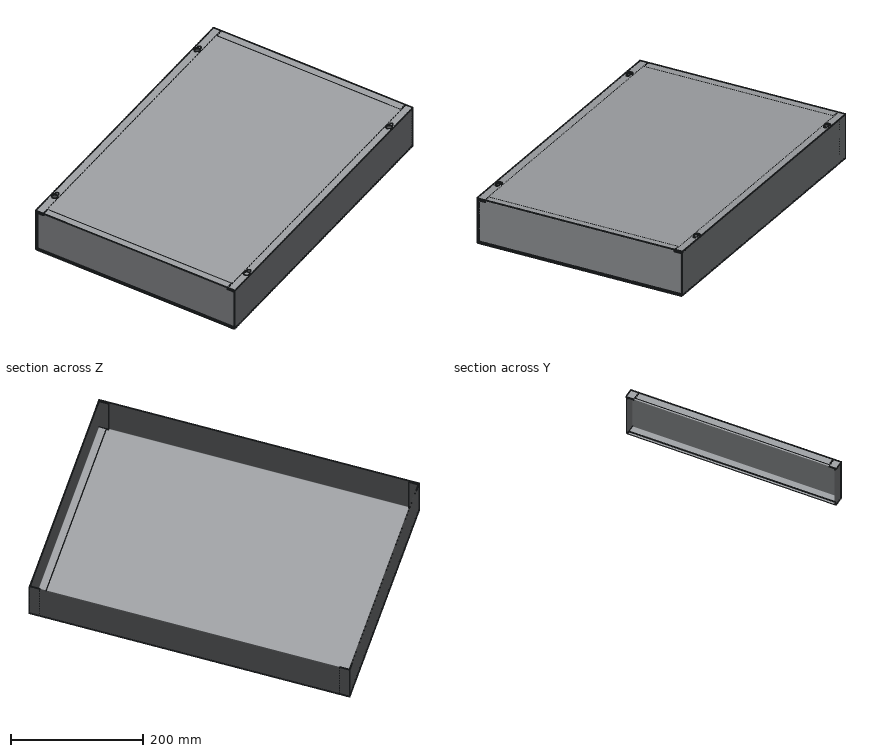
import cadquery as cq

LENGTH = 508.0
WIDTH = 355.5
HEIGHT = 77.5
SHEET = 1.45

SHELL_BEND = 2.3
SHELL_FLANGE = 12.5

PANEL_INSET_SIDE = 1.8
PANEL_INSET_BOTTOM = 2.0
PANEL_BEND = 2.0
PANEL_FLANGE = 12.5
PANEL_SIDE_FLANGE = 16.5
CORNER_NOTCH_DROP = 4.5
CORNER_NOTCH_GAP = 1.5

KEYHOLE_RADIUS = 5.0
SLOT_RADIUS = 2.8
KEYHOLE_INSET = 6.5
SLOT_SPACING = 406.5
SLOT_RISE = 6.5
ALONG_Y = 90

TOP = HEIGHT / 2
HALF_WIDTH = WIDTH / 2
HALF_LENGTH = LENGTH / 2
COVER_BOTTOM = TOP - SHEET
KEYHOLE_X = HALF_WIDTH - KEYHOLE_INSET
HOLE_CENTRES = [
    (side * KEYHOLE_X, end * SLOT_SPACING / 2 - SLOT_RISE)
    for side in (-1, 1)
    for end in (-1, 1)
]


def block(x_min, x_max, y_min, y_max, z_min, z_max):
    """Axis-aligned box between the given limits."""
    size = (x_max - x_min, y_max - y_min, z_max - z_min)
    return cq.Workplane().box(*size, centered=False).translate((x_min, y_min, z_min))


def round_holes():
    """Four vertical cylinders through the cover and the shell flanges."""
    return (
        cq.Workplane(origin=(0, 0, COVER_BOTTOM - SHEET))
        .pushPoints(HOLE_CENTRES)
        .circle(KEYHOLE_RADIUS)
        .extrude(2 * SHEET)
    )


def keyhole_slots():
    """Four narrow slots, each running from a round hole towards +Y."""
    slot_middles = [(x, y + SLOT_RISE / 2) for x, y in HOLE_CENTRES]
    return (
        cq.Workplane(origin=(0, 0, COVER_BOTTOM))
        .pushPoints(slot_middles)
        .slot2D(SLOT_RISE + 2 * SLOT_RADIUS, 2 * SLOT_RADIUS, ALONG_Y)
        .extrude(SHEET)
    )


def make_cover():
    """Flat sheet over the whole top, pierced by four keyholes."""
    sheet = block(-HALF_WIDTH, HALF_WIDTH, -HALF_LENGTH, HALF_LENGTH, COVER_BOTTOM, TOP)
    return sheet.cut(round_holes()).cut(keyhole_slots())


def make_shell():
    """Bent sheet running the full length, open at both ends and along the top."""
    outer = block(-HALF_WIDTH, HALF_WIDTH, -HALF_LENGTH, HALF_LENGTH, -TOP, COVER_BOTTOM)
    outer = outer.edges("|Y").fillet(SHELL_BEND)
    bore_x = HALF_WIDTH - SHEET
    bore = block(-bore_x, bore_x, -HALF_LENGTH, HALF_LENGTH, -TOP + SHEET, COVER_BOTTOM - SHEET)
    bore = bore.edges("|Y").fillet(SHELL_BEND - SHEET)
    gap_x = HALF_WIDTH - SHELL_FLANGE
    opening = block(-gap_x, gap_x, -HALF_LENGTH, HALF_LENGTH, 0, COVER_BOTTOM)
    return outer.cut(bore).cut(opening).cut(round_holes())


def make_front_panel():
    """End pan at -Y, with its flanges turned inward."""
    half_x = HALF_WIDTH - PANEL_INSET_SIDE
    face_y = -HALF_LENGTH
    bottom = -TOP + PANEL_INSET_BOTTOM
    top = COVER_BOTTOM
    side_end = face_y + PANEL_SIDE_FLANGE
    flange_end = face_y + PANEL_FLANGE

    pan = block(-half_x, half_x, face_y, side_end, bottom, top)
    pan = pan.faces("<Y").edges().fillet(PANEL_BEND)
    cavity_x = half_x - SHEET
    cavity = block(-cavity_x, cavity_x, face_y + SHEET, side_end, bottom + SHEET, top - SHEET)
    cavity = cavity.faces("<Y").edges().fillet(PANEL_BEND - SHEET)
    pan = pan.cut(cavity)

    pan = pan.cut(block(-cavity_x, cavity_x, flange_end, side_end, bottom, top))

    notch_start = HALF_WIDTH - SHELL_FLANGE - CORNER_NOTCH_GAP
    notch = block(notch_start, half_x, face_y, side_end, TOP - CORNER_NOTCH_DROP, top)
    return pan.cut(notch).cut(notch.mirror("YZ"))


cover = make_cover()
shell = make_shell()
front_panel = make_front_panel()
rear_panel = front_panel.mirror("XZ")

result = cq.Compound.makeCompound([cover.val(), shell.val(), front_panel.val(), rear_panel.val()])